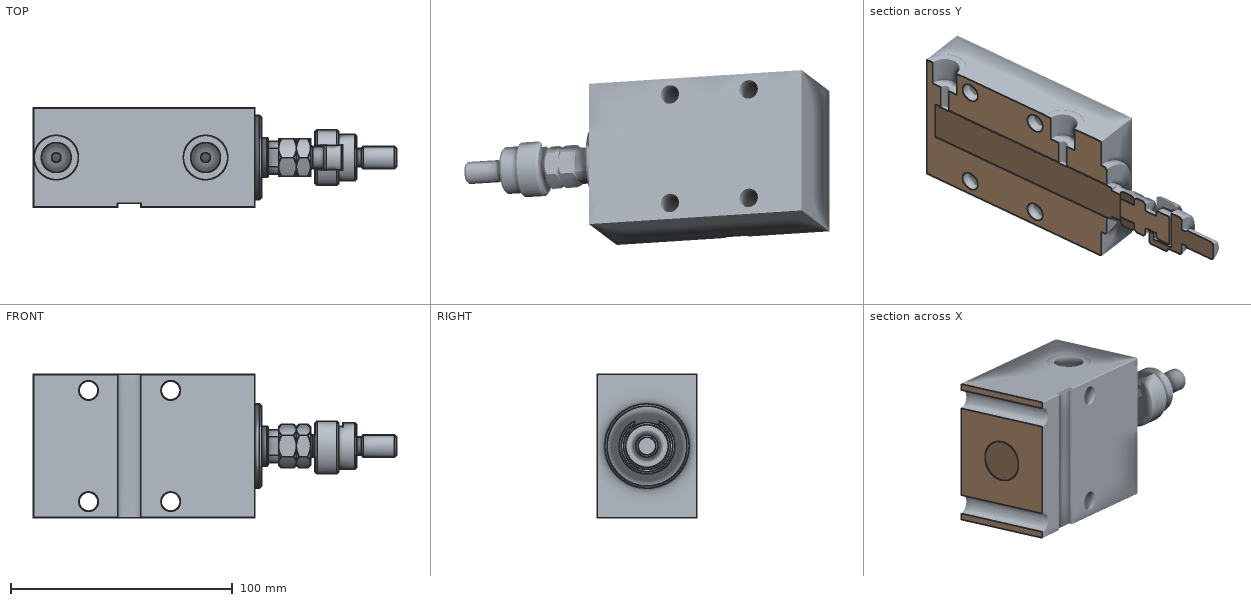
import cadquery as cq
import math


housing_length = 100.0
housing_depth = 45.0
housing_height = 65.0
axis_to_front_face = 22.5
front_edge_chamfer = 0.3
boss_diameter = 38.0
boss_length = 3.0
boss_chamfer = 1.0

groove_start = 38.0
groove_end = 48.5
groove_depth = 1.8

bolt_hole_diameter = 8.5
bolt_hole_positions_x = (25.0, 62.0)
bolt_hole_offset_z = 25.1

port_positions_x = (10.3, 77.7)
port_diameter = 13.5
port_depth = 12.0
port_feed_diameter = 4.3
spot_face_diameter = 20.0
spot_face_depth = 0.2

rod_diameter = 18.0
rod_start = 5.0
rod_shoulder = 106.0
rod_chamfer = 0.5
rod_end = 110.7
spanner_diameter = rod_diameter - 2 * rod_chamfer
spanner_width = 15.0

hexagon_width = 17.0
hexagon_face_radius = hexagon_width / 2
nut_length = 8.0
nut_end = rod_end + nut_length
stud_hexagon_end = 125.1
stud_diameter = 10.0
stud_root_diameter = 10.7
stud_root_length = 1.0
head_diameter = 16.0
head_start = 131.0
head_end = 138.9
head_chamfer = 1.1

coupling_start = 127.1
collar_diameter = 25.1
collar_end = 138.0
coupling_body_diameter = 21.2
coupling_body_end = 146.0
coupling_chamfer = 1.0
neck_diameter = 8.2
neck_end = 148.0
shank_diameter = 10.0
shank_end = 164.0
shank_chamfer = 1.0

slot_width = 11.2
slot_end = 139.7
lip_thickness = 3.0
head_pocket_diameter = 17.7


def rod_along_x(start, end, diameter):
    """Plain cylinder on the X axis."""
    return cq.Workplane("YZ", origin=(start, 0, 0)).circle(diameter / 2).extrude(end - start)


def turned(profile):
    """Solid of revolution about the X axis from (x, radius) points, closed along the axis."""
    first_x = profile[0][0]
    last_x = profile[-1][0]
    outline = [(first_x, 0), *profile, (last_x, 0)]
    return cq.Workplane("XY").polyline(outline).close().revolve(360, (0, 0, 0), (1, 0, 0))


def chamfered_cylinder(start, end, diameter, start_chamfer, end_chamfer):
    """Cylinder on the X axis with 45 degree chamfers; a zero leaves that end sharp."""
    radius = diameter / 2
    profile = []
    if start_chamfer:
        profile.append((start, radius - start_chamfer))
    profile.append((start + start_chamfer, radius))
    profile.append((end - end_chamfer, radius))
    if end_chamfer:
        profile.append((end, radius - end_chamfer))
    return turned(profile)


def chamfered_hexagon(start, end):
    """Hexagon with corners up and down, its corners turned off at both ends."""
    corner_diameter = hexagon_width / math.cos(math.radians(30))
    corner_chamfer = corner_diameter / 2 - hexagon_face_radius
    prism = (
        cq.Workplane("YZ", origin=(start, 0, 0))
        .polygon(6, corner_diameter)
        .extrude(end - start)
        .rotate((0, 0, 0), (1, 0, 0), 90)
    )
    envelope = chamfered_cylinder(start, end, corner_diameter, corner_chamfer, corner_chamfer)
    return prism.intersect(envelope)


def make_housing():
    front_y = -axis_to_front_face
    top_z = housing_height / 2
    body = (
        cq.Workplane("XY")
        .box(housing_length, housing_depth, housing_height, centered=(False, False, True))
        .translate((0, front_y, 0))
        .edges("|X and <Y")
        .chamfer(front_edge_chamfer)
    )

    boss_end = housing_length + boss_length
    body = body.union(chamfered_cylinder(housing_length, boss_end, boss_diameter, 0, boss_chamfer))
    body = body.cut(rod_along_x(rod_start, boss_end, rod_diameter))

    groove = (
        cq.Workplane("XY")
        .box(groove_end - groove_start, groove_depth, housing_height, centered=(False, False, True))
        .translate((groove_start, front_y, 0))
    )
    body = body.cut(groove)

    bolt_holes = (
        cq.Workplane("XZ", origin=(0, front_y, 0))
        .pushPoints([(x, side * bolt_hole_offset_z) for x in bolt_hole_positions_x for side in (-1, 1)])
        .circle(bolt_hole_diameter / 2)
        .extrude(-housing_depth)
    )
    body = body.cut(bolt_holes)

    port_steps = (
        (spot_face_diameter, spot_face_depth),
        (port_diameter, port_depth),
        (port_feed_diameter, top_z),
    )
    for diameter, depth in port_steps:
        step = (
            cq.Workplane("XY", origin=(0, 0, top_z))
            .pushPoints([(x, 0) for x in port_positions_x])
            .circle(diameter / 2)
            .extrude(-depth)
        )
        body = body.cut(step)
    return body


def make_rod():
    radius = rod_diameter / 2
    spanner_radius = spanner_diameter / 2
    rod = turned([
        (rod_start, radius),
        (rod_shoulder - rod_chamfer, radius),
        (rod_shoulder, spanner_radius),
        (rod_end, spanner_radius),
    ])
    square_core = (
        cq.Workplane("YZ", origin=(rod_shoulder, 0, 0))
        .rect(spanner_width, spanner_width)
        .extrude(rod_end - rod_shoulder)
    )
    flats_waste = rod_along_x(rod_shoulder, rod_end, rod_diameter).cut(square_core)
    return rod.cut(flats_waste)


def make_lock_nut():
    return chamfered_hexagon(rod_end, nut_end).cut(rod_along_x(rod_end, nut_end, stud_diameter))


def make_stud():
    radius = stud_diameter / 2
    shaft = turned([
        (rod_end, radius),
        (stud_hexagon_end, radius),
        (stud_hexagon_end, stud_root_diameter / 2),
        (stud_hexagon_end + stud_root_length, radius),
        (head_end, radius),
    ])
    hexagon = chamfered_hexagon(nut_end, stud_hexagon_end)
    head = chamfered_cylinder(head_start, head_end, head_diameter, head_chamfer, 0)
    return shaft.union(hexagon).union(head)


def make_coupling():
    body = chamfered_cylinder(
        coupling_start, collar_end, collar_diameter, coupling_chamfer, coupling_chamfer
    )
    body = body.union(
        chamfered_cylinder(coupling_start + coupling_chamfer, coupling_body_end,
                           coupling_body_diameter, 0, coupling_chamfer)
    )
    body = body.union(rod_along_x(slot_end, neck_end, neck_diameter))
    body = body.union(
        chamfered_cylinder(neck_end, shank_end, shank_diameter, shank_chamfer, shank_chamfer)
    )

    slot_length = slot_end - coupling_start
    slot_height = collar_diameter / 2
    slot = (
        cq.Workplane("XY")
        .box(slot_length, slot_width, slot_height, centered=(False, True, False))
        .translate((coupling_start, 0, 0))
        .union(rod_along_x(coupling_start, slot_end, slot_width))
    )
    head_pocket = rod_along_x(coupling_start + lip_thickness, slot_end, head_pocket_diameter)
    return body.cut(slot).cut(head_pocket)


housing = make_housing()
piston_rod = make_rod()
lock_nut = make_lock_nut()
stud = make_stud()
coupling = make_coupling()

result = cq.Compound.makeCompound([
    housing.val(),
    piston_rod.val(),
    lock_nut.val(),
    stud.val(),
    coupling.val(),
])